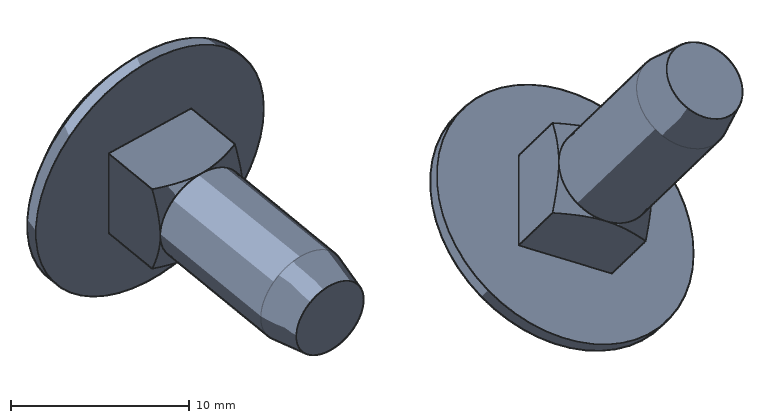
import cadquery as cq
import math

HEAD_DIAMETER = 16.55
HEAD_HEIGHT = 3.88
RIM_THICKNESS = 0.78
SHANK_DIAMETER = 6.0
SHANK_LENGTH = 16.0
NECK_WIDTH = SHANK_DIAMETER
NECK_LENGTH = 4.6
NECK_CHAMFER_ANGLE = 30.0
TIP_LENGTH = 2.5
TIP_DIAMETER = 4.9

HEAD_RADIUS = HEAD_DIAMETER / 2
SHANK_RADIUS = SHANK_DIAMETER / 2
TIP_RADIUS = TIP_DIAMETER / 2


def revolve_about_axis(outline):
    """Close an outline of (axial, radial) points and turn it fully about X."""
    return outline.close().revolve(360, (0, 0, 0), (1, 0, 0))


def make_tapered_rod(length, radius, taper_length, end_radius):
    """Round rod from X = 0 whose far end narrows in a cone."""
    outline = cq.Workplane("XY").polyline([
        (0, 0),
        (0, radius),
        (length - taper_length, radius),
        (length, end_radius),
        (length, 0),
    ])
    return revolve_about_axis(outline)


def make_head():
    """Spherical dome on a thin cylindrical rim."""
    dome_height = HEAD_HEIGHT - RIM_THICKNESS
    dome_radius = (HEAD_RADIUS**2 + dome_height**2) / (2 * dome_height)
    mid_angle = math.asin(HEAD_RADIUS / dome_radius) / 2
    arc_middle = (
        -HEAD_HEIGHT + dome_radius * (1 - math.cos(mid_angle)),
        dome_radius * math.sin(mid_angle),
    )
    outline = (
        cq.Workplane("XY")
        .moveTo(0, 0)
        .lineTo(-HEAD_HEIGHT, 0)
        .threePointArc(arc_middle, (-RIM_THICKNESS, HEAD_RADIUS))
        .lineTo(0, HEAD_RADIUS)
    )
    return revolve_about_axis(outline)


def make_neck():
    """Square neck whose far corners are cut back by a cone meeting the shank surface."""
    corner_radius = NECK_WIDTH / math.sqrt(2)
    chamfer_length = (corner_radius - SHANK_RADIUS) * math.tan(math.radians(NECK_CHAMFER_ANGLE))
    square = cq.Workplane("YZ").rect(NECK_WIDTH, NECK_WIDTH).extrude(NECK_LENGTH)
    envelope = make_tapered_rod(NECK_LENGTH, corner_radius, chamfer_length, SHANK_RADIUS)
    return square.intersect(envelope)


head = make_head()
neck = make_neck()
shank = make_tapered_rod(SHANK_LENGTH, SHANK_RADIUS, TIP_LENGTH, TIP_RADIUS)

result = head.union(neck).union(shank)